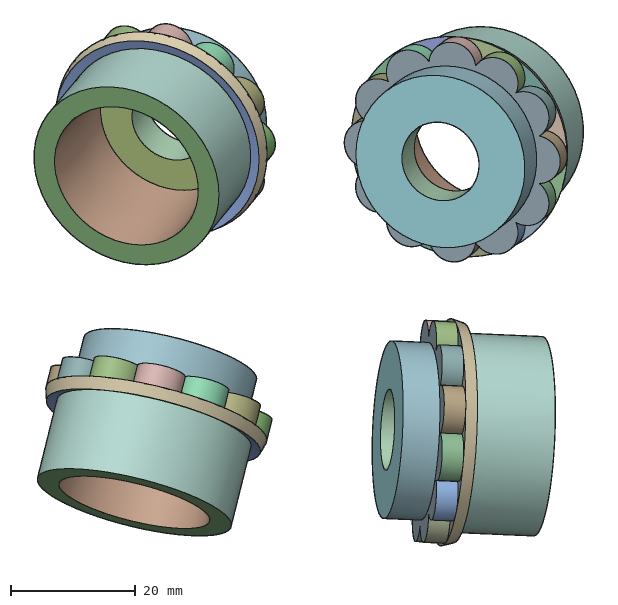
import cadquery as cq

overall_length = 24.5
tube_length = 13.0
flange_thickness = 2.0
flange_dish_depth = 0.47
pin_length = 3.5

outer_radius = 18.25
flange_front_radius = 17.65
tube_radius = 16.02
back_radius = 14.27

mouth_radius = 12.45
floor_radius = 11.95
bore_depth = 18.25
hole_radius = 6.5

pin_count = 12
pin_radius = outer_radius - back_radius

front_y = -overall_length / 2
back_y = overall_length / 2
flange_front_y = front_y + tube_length
flange_back_y = flange_front_y + flange_thickness
floor_y = front_y + bore_depth


def make_revolved_body():
    """Revolve the half section (radius, y) about the Y axis."""
    half_section = [
        (mouth_radius, front_y),
        (tube_radius, front_y),
        (tube_radius, flange_front_y + flange_dish_depth),
        (flange_front_radius, flange_front_y),
        (outer_radius, flange_back_y),
        (back_radius, flange_back_y),
        (back_radius, back_y),
        (hole_radius, back_y),
        (hole_radius, floor_y),
        (floor_radius, floor_y),
    ]
    profile = cq.Workplane("XY").polyline(half_section).close()
    return profile.revolve(360, (0, 0, 0), (0, 1, 0))


def make_pins():
    """Overlapping pins behind the flange, with the bore kept clear."""
    pins = (
        cq.Workplane("XZ", origin=(0, flange_back_y, 0))
        .polarArray(back_radius, 0, 360, pin_count)
        .circle(pin_radius)
        .extrude(-pin_length, combine=False)
    )
    inside = cq.Workplane("XZ", origin=(0, flange_back_y, 0)).circle(back_radius).extrude(-pin_length)
    return pins.cut(inside)


result = make_revolved_body().union(make_pins())